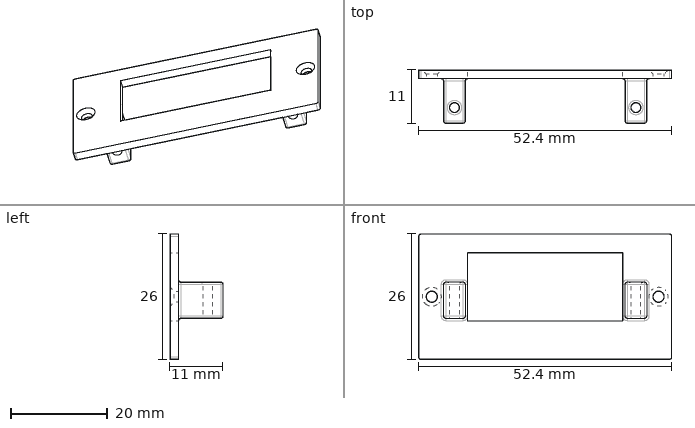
import cadquery as cq

plate_width = 52.4
plate_height = 26.0
plate_thickness = 1.8
edge_radius = 0.5

window_width = 32.05
window_top = 9.05
window_bottom = -5.0

mount_hole_diameter = 2.25
mount_hole_x = 23.5
mount_countersink_depth = 0.85

post_width = 4.5
post_height = 7.5
total_depth = 11.0
post_length = total_depth - plate_thickness
post_x = window_width / 2 + edge_radius + post_width / 2
post_z = window_bottom + edge_radius + post_height / 2

screw_hole_diameter = 2.0
screw_hole_from_tip = 3.25


def make_plate():
    plate = (
        cq.Workplane("XY")
        .box(plate_width, plate_thickness, plate_height, centered=(True, False, True))
        .edges("|Y")
        .fillet(edge_radius)
    )
    window_height = window_top - window_bottom
    window = (
        cq.Workplane("XY")
        .box(window_width, plate_thickness, window_height, centered=(True, False, False))
        .translate((0, 0, window_bottom))
    )
    mount_holes = (
        cq.Workplane("XZ")
        .pushPoints([(-mount_hole_x, 0), (mount_hole_x, 0)])
        .circle(mount_hole_diameter / 2)
        .extrude(-plate_thickness)
    )
    plate = plate.cut(window).cut(mount_holes)
    mount_hole_rims = plate.faces(">Y").edges(cq.selectors.RadiusNthSelector(-1))
    return mount_hole_rims.chamfer(mount_countersink_depth)


def make_bare_post():
    """Post with rounded edges and its screw hole, before the root fillet."""
    hole_y = screw_hole_from_tip - post_length
    hole = (
        cq.Workplane("XY", origin=(0, hole_y, -post_height / 2))
        .circle(screw_hole_diameter / 2)
        .extrude(post_height)
    )
    post = (
        cq.Workplane("XZ")
        .rect(post_width, post_height)
        .extrude(post_length)
        .edges("|Y or <Y")
        .fillet(edge_radius)
        .cut(hole)
    )
    return post.faces(">Z").edges("%CIRCLE").fillet(edge_radius)


def make_post():
    """Post with a concave fillet that widens its root against the plate."""
    base_width = post_width + 2 * edge_radius
    base_height = post_height + 2 * edge_radius
    slab = (
        cq.Workplane("XZ")
        .rect(base_width * 2, base_height * 2)
        .extrude(-plate_thickness)
    )
    root = cq.selectors.BoxSelector(
        (-base_width / 2, -edge_radius / 2, -base_height / 2),
        (base_width / 2, edge_radius / 2, base_height / 2),
        boundingbox=True,
    )
    return slab.union(make_bare_post()).edges(root).fillet(edge_radius).cut(slab)


result = make_plate()
for side in (-1, 1):
    result = result.union(make_post().translate((side * post_x, 0, post_z)))